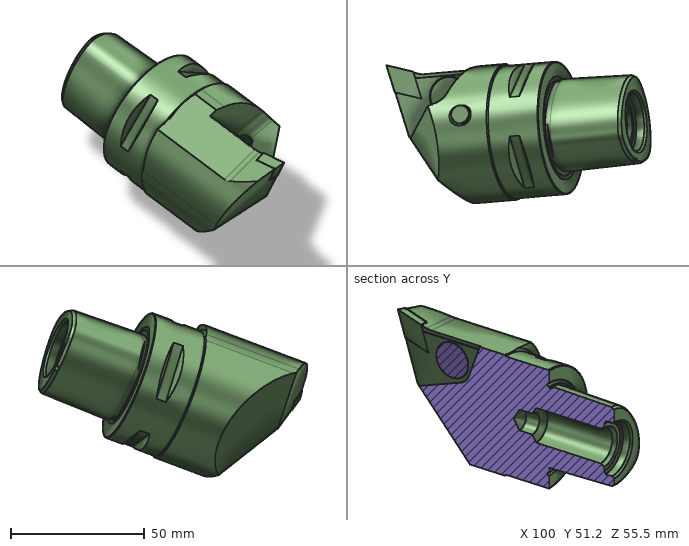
import cadquery as cq
import math


FAR = 120.0

TIP_X = 70.0
TIP_Z = 30.0
RELIEF_ANGLE = 7.0
LEAD_ANGLE = 17.5

SHANK_LENGTH = 30.0
SHANK_RADIUS = 17.4
SHANK_LOBE = 1.2
SHANK_TAPER = 1 / 40
SHANK_CURVE_POINTS = 72
SHANK_CHAMFER_LENGTH = 1.3
SHANK_CHAMFER_DEPTH = 0.75
NOTCH_RADIUS = 2.5
NOTCH_TOP_Z = -14.2

FLANGE_RADIUS = 25.0
FLANGE_LENGTH = 20.0
FLANGE_CHAMFER = 0.3
FACE_GROOVE_INNER = 18.1
FACE_GROOVE_OUTER = 19.4
FACE_GROOVE_DEPTH = 0.8
NECK_RADIUS = 17.5
NECK_START = -1.9
NECK_SLOPE_LENGTH = 1.0

GRIP_X = 9.9
GRIP_FLOOR_RADIUS = 22.2
GRIP_FLOOR_WIDTH = 3.8
GRIP_SIDE_ANGLE = 30.0
GRIP_COUNT = 4

HEAD_RADIUS = 25.5
HEAD_CONE_LENGTH = 1.0
LIFTED_RADIUS = 25.2
LIFTED_Z = 5.2
STRIP_Y = 6.9
FLAT_Y = 3.0
FLAT_Z = 25.8
FLAT_SLOPE = 0.12
BODY_SETBACK = 0.2
FLANK_FILLET = 7.5

UNDERCUT_X = 59.4
UNDERCUT_SLOPE_Z = 0.894
UNDERCUT_SLOPE_Y = 0.125

WALL_STEP_DEPTH = 0.4
WALL_STEP_Z = 24.0
POCKET_TOP_X = 32.1
POCKET_TILT = 20.0
FLOOR_END_X = 60.4
FLOOR_END_Z = 0.7
POCKET_FILLET = 6.2
CORNER_SLOPE_Y = -0.72
CORNER_SLOPE_Z = 0.27

OUTLET_RADIUS = 2.2
OUTLET_X = 40.6
OUTLET_Y = 10.2
OUTLET_Z = 7.8
OUTLET_TILT = 18.0
OUTLET_DEPTH = 8.0

INSERT_EDGE = 11.3
INSERT_THICKNESS = 4.0

DISC_RADIUS = 7.4
DISC_TOP_Y = 1.6
DISC_CHAMFER = 0.5
DISC_X = 44.8
DISC_Z = 16.0

PLUG_RADIUS = 3.5
PLUG_FACE_Y = 25.7
PLUG_LENGTH = 6.0
PLUG_X = 31.0
PLUG_Z = 2.1
PLUG_SINK_RADIUS = 4.4

BORE_STEPS = [
    (0.0, 11.8),
    (0.9, 11.1),
    (4.0, 11.1),
    (4.3, 10.4),
    (4.6, 9.9),
    (4.6, 8.2),
    (6.2, 7.2),
    (36.0, 7.2),
]
BORE_DRILL_RADIUS = 4.3
BORE_DRILL_LENGTH = 6.0
DRILL_POINT_ANGLE = 118.0

DRILL_SLOPE = 1 / math.tan(math.radians(DRILL_POINT_ANGLE / 2))
LEAD_SLOPE = math.tan(math.radians(LEAD_ANGLE))
FLANK_SLOPE_Y = math.tan(math.radians(RELIEF_ANGLE)) / math.cos(math.radians(LEAD_ANGLE))


def revolve_about_x(points):
    """Solid of revolution about the X axis from (x, radius) points."""
    return cq.Workplane("XY").polyline(points).close().revolve(360, (0, 0, 0), (1, 0, 0))


def beyond_plane(origin, normal):
    """Block filling the side of a plane that its normal points to."""
    plane = cq.Plane(origin=origin, normal=normal)
    return cq.Workplane(plane).rect(2 * FAR, 2 * FAR).extrude(FAR)


def lobed_section(x, radius):
    """Three-lobed curve of constant width, one lobe pointing up."""
    def point(t):
        a = 2 * math.pi * t
        y = radius * math.sin(a) - SHANK_LOBE * (2 * math.sin(2 * a) + math.sin(4 * a))
        z = radius * math.cos(a) + SHANK_LOBE * (2 * math.cos(2 * a) - math.cos(4 * a))
        return (y, z)
    section = cq.Workplane("YZ", origin=(x, 0, 0)).parametricCurve(point, N=SHANK_CURVE_POINTS)
    return section.val()


def make_shank():
    chamfer_x = SHANK_CHAMFER_LENGTH - SHANK_LENGTH
    chamfer_radius = SHANK_RADIUS + SHANK_TAPER * chamfer_x
    neck_radius = SHANK_RADIUS + SHANK_TAPER * NECK_START
    middle = lobed_section(chamfer_x, chamfer_radius)
    end = lobed_section(-SHANK_LENGTH, chamfer_radius - SHANK_CHAMFER_DEPTH)
    neck = lobed_section(NECK_START, neck_radius)
    root = lobed_section(0, neck_radius)
    taper = cq.Workplane(cq.Solid.makeLoft([middle, neck], True))
    straight = cq.Workplane(cq.Solid.makeLoft([neck, root], True))
    chamfer = cq.Workplane(cq.Solid.makeLoft([end, middle], True))
    lobe_relief = revolve_about_x([
        (NECK_START, SHANK_RADIUS + SHANK_LOBE),
        (NECK_START + NECK_SLOPE_LENGTH, NECK_RADIUS),
        (0, NECK_RADIUS),
        (0, FACE_GROOVE_OUTER),
        (NECK_START, FACE_GROOVE_OUTER),
    ])
    notch_axis_z = NOTCH_TOP_Z - NOTCH_RADIUS * math.sqrt(2)
    notch = cq.Workplane(cq.Solid.makeCylinder(
        NOTCH_RADIUS,
        4 * NOTCH_RADIUS,
        cq.Vector(-SHANK_LENGTH - NOTCH_RADIUS, 0, notch_axis_z + NOTCH_RADIUS),
        cq.Vector(1, 0, -1),
    ))
    return taper.union(chamfer).union(straight).cut(lobe_relief).cut(notch)


def make_flange():
    """Flange disc with its face groove."""
    disc = revolve_about_x([
        (0, 0),
        (0, FLANGE_RADIUS - FLANGE_CHAMFER),
        (FLANGE_CHAMFER, FLANGE_RADIUS),
        (FLANGE_LENGTH, FLANGE_RADIUS),
        (FLANGE_LENGTH, 0),
    ])
    groove = (
        cq.Workplane("XY")
        .moveTo(0, FACE_GROOVE_INNER)
        .threePointArc(
            (FACE_GROOVE_DEPTH, (FACE_GROOVE_INNER + FACE_GROOVE_OUTER) / 2),
            (0, FACE_GROOVE_OUTER),
        )
        .close()
        .revolve(360, (0, 0, 0), (1, 0, 0))
    )
    return disc.cut(groove)


def make_grip_slots():
    """V-sided chord slots, evenly spaced at 45 degrees to the Y and Z axes."""
    height = 2 * (FLANGE_RADIUS - GRIP_FLOOR_RADIUS)
    half_floor = GRIP_FLOOR_WIDTH / 2
    half_top = half_floor + height * math.tan(math.radians(GRIP_SIDE_ANGLE))
    slot = (
        cq.Workplane("XZ", origin=(GRIP_X, 0, GRIP_FLOOR_RADIUS))
        .polyline([(-half_floor, 0), (half_floor, 0), (half_top, height), (-half_top, height)])
        .close()
        .extrude(FLANGE_RADIUS, both=True)
    )
    step = 360 / GRIP_COUNT
    slots = cq.Workplane()
    for i in range(GRIP_COUNT):
        slots = slots.add(slot.rotate((0, 0, 0), (1, 0, 0), step * (i + 0.5)))
    return slots.combine()


def make_head_blank():
    """Two arcs, the upper one lifted towards the tip, joined by a straight side."""
    strip_z = math.sqrt(HEAD_RADIUS**2 - STRIP_Y**2)
    lifted_top = LIFTED_Z + math.sqrt(LIFTED_RADIUS**2 - FLAT_Y**2)
    diagonal = HEAD_RADIUS * math.sqrt(0.5)
    lifted_diagonal = LIFTED_RADIUS * math.sqrt(0.5)
    return (
        cq.Workplane("YZ", origin=(FLANGE_LENGTH, 0, 0))
        .moveTo(-HEAD_RADIUS, 0)
        .threePointArc((diagonal, -diagonal), (STRIP_Y, strip_z))
        .lineTo(FLAT_Y, FLAT_Z)
        .lineTo(FLAT_Y, lifted_top)
        .threePointArc((-lifted_diagonal, LIFTED_Z + lifted_diagonal), (-LIFTED_RADIUS, LIFTED_Z))
        .close()
        .extrude(TIP_X - FLANGE_LENGTH)
    )


def make_cone_cut():
    """Ring outside the cone at the back of the head."""
    cone_end = FLANGE_LENGTH + HEAD_CONE_LENGTH
    return revolve_about_x([
        (FLANGE_LENGTH, FLANGE_RADIUS),
        (cone_end, FLANGE_RADIUS + HEAD_CONE_LENGTH),
        (cone_end, FAR),
        (FLANGE_LENGTH, FAR),
    ])


def make_top_cut():
    """Clears the top flat and the rising flank behind the tip, swept along both slopes."""
    flat_z = FLAT_Z - FLAT_SLOPE * FLAT_Y
    flank_z = TIP_Z - BODY_SETBACK
    bend_x = TIP_X - (flank_z - flat_z) / LEAD_SLOPE
    tangent = FLANK_FILLET * math.tan(math.radians(LEAD_ANGLE / 2))
    end_x = TIP_X + HEAD_RADIUS
    end_z = flank_z + (end_x - TIP_X) * LEAD_SLOPE
    lead = math.radians(LEAD_ANGLE)
    middle = (
        bend_x - tangent + FLANK_FILLET * math.sin(lead / 2),
        flat_z + FLANK_FILLET * (1 - math.cos(lead / 2)),
    )
    drift_x = (FLANK_SLOPE_Y - FLAT_SLOPE) / LEAD_SLOPE
    sweep = cq.Vector(drift_x, -1, -FLAT_SLOPE)
    profile = (
        cq.Workplane("XZ")
        .moveTo(0, flat_z)
        .lineTo(bend_x - tangent, flat_z)
        .threePointArc(middle, (bend_x + tangent * math.cos(lead), flat_z + tangent * math.sin(lead)))
        .lineTo(end_x, end_z)
        .lineTo(end_x, FAR)
        .lineTo(0, FAR)
        .close()
        .val()
        .moved(cq.Location(sweep * -FLAT_Y))
    )
    return cq.Workplane(cq.Solid.extrudeLinear(profile, [], sweep * FAR))


def make_end_cuts():
    """End flank below the tip and the steeper undercut below the axis."""
    end_flank = beyond_plane(
        (TIP_X - BODY_SETBACK, 0, TIP_Z),
        (1, -FLANK_SLOPE_Y, -LEAD_SLOPE),
    )
    undercut = beyond_plane((UNDERCUT_X, 0, 0), (1, -UNDERCUT_SLOPE_Y, -UNDERCUT_SLOPE_Z))
    return end_flank.union(undercut)


def make_pocket():
    """Chip pocket: steep back wall, sloping floor, and the oblique corner below it."""
    tilt = math.tan(math.radians(POCKET_TILT))
    rise = FAR - HEAD_RADIUS
    floor_drop = FAR - FLOOR_END_X
    root_z = FLOOR_END_Z + tilt * (FLOOR_END_X - POCKET_TOP_X - tilt * HEAD_RADIUS)
    root_z = root_z / (1 - tilt**2)
    root_x = POCKET_TOP_X + tilt * (HEAD_RADIUS - root_z)
    pocket = (
        cq.Workplane("XZ")
        .moveTo(POCKET_TOP_X - rise * tilt, FAR)
        .lineTo(root_x, root_z)
        .lineTo(FAR, FLOOR_END_Z - floor_drop * tilt)
        .lineTo(FAR, FAR)
        .close()
        .extrude(-FAR)
        .edges("|Y")
        .edges(cq.selectors.NearestToPointSelector((root_x, FAR / 2, root_z)))
        .fillet(POCKET_FILLET)
    )
    corner = beyond_plane((FLOOR_END_X, 0, FLOOR_END_Z), (1, -CORNER_SLOPE_Y, -CORNER_SLOPE_Z))
    corner = corner.cut(beyond_plane((0, 0, 0), (0, -1, 0)))
    insert_back_x = TIP_X - INSERT_EDGE * math.cos(math.radians(LEAD_ANGLE))
    wall_step = (
        cq.Workplane("XY", origin=(POCKET_TOP_X, -WALL_STEP_DEPTH, WALL_STEP_Z))
        .rect(insert_back_x - POCKET_TOP_X, WALL_STEP_DEPTH, centered=False)
        .extrude(HEAD_RADIUS)
    )
    return pocket.union(corner).union(wall_step)


def make_bore():
    """Stepped bore with a drilled tail and conical bottoms."""
    points = [(depth - SHANK_LENGTH, radius) for depth, radius in BORE_STEPS]
    bottom_x, bottom_radius = points[-1]
    drill_x = bottom_x + (bottom_radius - BORE_DRILL_RADIUS) * DRILL_SLOPE
    drill_end = drill_x + BORE_DRILL_LENGTH
    points.append((drill_x, BORE_DRILL_RADIUS))
    points.append((drill_end, BORE_DRILL_RADIUS))
    points.append((drill_end + BORE_DRILL_RADIUS * DRILL_SLOPE, 0))
    points.append((-SHANK_LENGTH, 0))
    return revolve_about_x(points)


def make_outlet():
    """Coolant hole leaving the pocket floor, leaning towards the tip side."""
    tilt = math.radians(OUTLET_TILT)
    axis = cq.Vector(0, math.sin(tilt), -math.cos(tilt))
    mouth = cq.Vector(OUTLET_X, OUTLET_Y, OUTLET_Z)
    drill = cq.Solid.makeCylinder(OUTLET_RADIUS, 2 * OUTLET_DEPTH, mouth - axis * OUTLET_DEPTH, axis)
    return cq.Workplane(drill)


def make_plug_sink():
    """45 degree countersink around the side plug."""
    depth = PLUG_SINK_RADIUS - PLUG_RADIUS
    return cq.Workplane(cq.Solid.makeCone(
        PLUG_SINK_RADIUS,
        PLUG_RADIUS,
        depth,
        cq.Vector(PLUG_X, HEAD_RADIUS, PLUG_Z),
        cq.Vector(0, -1, 0),
    ))


def make_body(insert, plug):
    head = make_head_blank().cut(make_cone_cut()).cut(make_top_cut()).cut(make_end_cuts()).cut(make_pocket())
    flange = make_flange().cut(make_grip_slots())
    body = flange.union(head).union(make_shank())
    body = body.cut(make_bore()).cut(make_outlet()).cut(make_plug_sink())
    return body.cut(insert).cut(plug)


def make_insert():
    """Rhombic plate with its top on Y = 0 and relief on every side."""
    lead = math.radians(LEAD_ANGLE)
    long_step = INSERT_EDGE * math.cos(lead)
    short_step = INSERT_EDGE * math.sin(lead)
    return (
        cq.Workplane("XZ")
        .polyline([
            (TIP_X, TIP_Z),
            (TIP_X - long_step, TIP_Z - short_step),
            (TIP_X - long_step - short_step, TIP_Z - short_step - long_step),
            (TIP_X - short_step, TIP_Z - long_step),
        ])
        .close()
        .extrude(INSERT_THICKNESS, taper=RELIEF_ANGLE)
    )


def make_disc():
    return (
        cq.Workplane("XZ", origin=(DISC_X, 0, DISC_Z))
        .circle(DISC_RADIUS)
        .extrude(-DISC_TOP_Y)
        .faces(">Y")
        .chamfer(DISC_CHAMFER)
    )


def make_plug():
    return (
        cq.Workplane("XZ", origin=(PLUG_X, PLUG_FACE_Y, PLUG_Z))
        .circle(PLUG_RADIUS)
        .extrude(PLUG_LENGTH)
    )


insert = make_insert()
disc = make_disc()
plug = make_plug()
body = make_body(insert, plug)

result = cq.Compound.makeCompound([body.solids().val(), insert.val(), disc.val(), plug.val()])